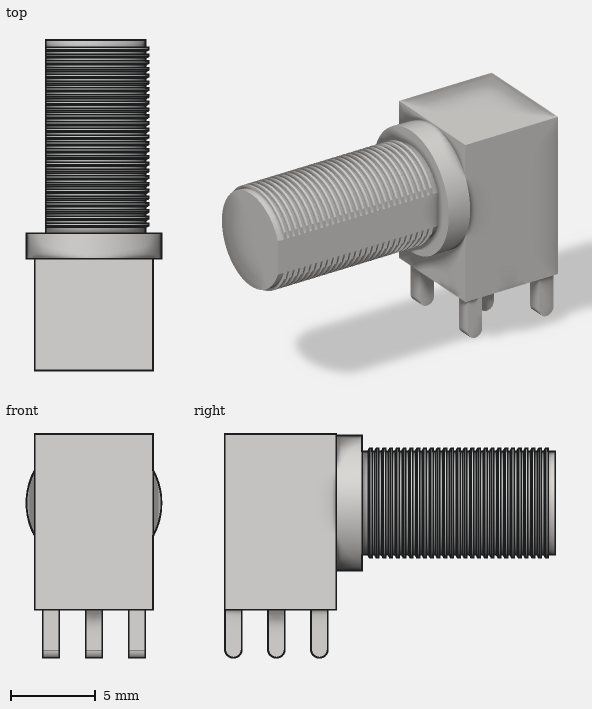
import cadquery as cq

block_width = 7.0
block_depth = 6.6
block_height = 10.4

axis_height = 6.31
flange_diameter = 8.0
flange_thickness = 1.52
total_length = 19.55
barrel_diameter = 6.12
barrel_length = total_length - block_depth - flange_thickness
barrel_flat_distance = 2.85

ridge_diameter = 6.5
ridge_count = 27
thread_span = 10.4
ridge_pitch = thread_span / (ridge_count - 1)
ridge_tip_offset = 0.43
ridge_root_width = 0.23
ridge_crest_width = 0.14

pin_width = 1.0
pin_length = 2.83
pin_end_height = 0.45
pin_spacing = 2.55
pin_overlap = 0.2
pin_setback = 0.02

flange_start = block_depth
barrel_start = flange_start + flange_thickness


def make_block():
    """Plain rectangular housing."""
    centring = (True, False, False)
    return cq.Workplane("XY").box(block_width, block_depth, block_height, centered=centring)


def make_flange():
    """Round flange between the block and the barrel."""
    plane = cq.Plane(origin=(0, flange_start, axis_height), xDir=(1, 0, 0), normal=(0, 1, 0))
    return cq.Workplane(plane).circle(flange_diameter / 2).extrude(flange_thickness)


def make_threaded_barrel():
    """Barrel with ridges, revolved from one stepped profile and flattened on the -X side."""
    core_radius = barrel_diameter / 2
    ridge_radius = ridge_diameter / 2
    profile = cq.Workplane("XY").moveTo(0, total_length).lineTo(core_radius, total_length)
    for index in range(ridge_count):
        tip_face = total_length - ridge_tip_offset - index * ridge_pitch
        profile = profile.lineTo(core_radius, tip_face)
        profile = profile.lineTo(ridge_radius, tip_face)
        profile = profile.lineTo(ridge_radius, tip_face - ridge_crest_width)
        profile = profile.lineTo(core_radius, tip_face - ridge_root_width)
    profile = profile.lineTo(core_radius, barrel_start).lineTo(0, barrel_start).close()
    barrel = profile.revolve(360, (0, 0, 0), (0, 1, 0)).translate((0, 0, axis_height))

    kept_width = barrel_flat_distance + ridge_diameter
    kept_side = (
        cq.Workplane("XY")
        .box(kept_width, barrel_length, 2 * ridge_diameter, centered=(False, False, True))
        .translate((-barrel_flat_distance, barrel_start, axis_height))
    )
    return barrel.intersect(kept_side)


def make_pin(x, y):
    """Square pin below the block, its end rounded by one arc across Y."""
    half = pin_width / 2
    side_end = -pin_length + pin_end_height
    return (
        cq.Workplane("YZ")
        .moveTo(-half, pin_overlap)
        .lineTo(-half, side_end)
        .threePointArc((0, -pin_length), (half, side_end))
        .lineTo(half, pin_overlap)
        .close()
        .extrude(half, both=True)
        .translate((x, y, 0))
    )


result = make_block()
result = result.union(make_flange())
result = result.union(make_threaded_barrel())

pin_middle_y = pin_setback + pin_width / 2 + pin_spacing
pin_places = [(0, 0), (-1, -1), (-1, 1), (1, -1), (1, 1)]
for column, row in pin_places:
    result = result.union(make_pin(column * pin_spacing, pin_middle_y + row * pin_spacing))